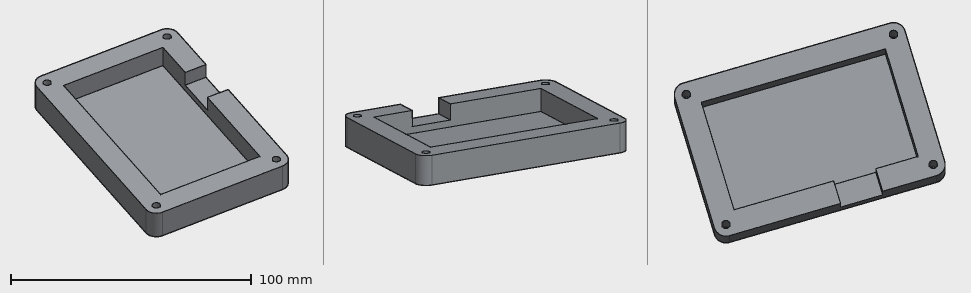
import cadquery as cq

length = 99.73
width = 67.71
height = 13.0
corner_radius = 5.0

wall = 10.0
floor_thickness = 3.0
pocket_length = length - 2 * wall
pocket_width = width - 2 * wall

screw_hole_diameter = 3.4
screw_spacing_x = length - 2 * corner_radius
screw_spacing_y = width - 2 * corner_radius

notch_width = 18.2
notch_depth = 7.0
notch_center_x = -12.4


def make_block():
    block = cq.Workplane("XY").box(length, width, height, centered=(True, True, False))
    return block.edges("|Z").fillet(corner_radius)


def cut_pocket(body):
    pocket = (
        cq.Workplane("XY")
        .workplane(offset=floor_thickness)
        .rect(pocket_length, pocket_width)
        .extrude(height - floor_thickness)
    )
    return body.cut(pocket)


def cut_screw_holes(body):
    holes = (
        cq.Workplane("XY")
        .rect(screw_spacing_x, screw_spacing_y, forConstruction=True)
        .vertices()
        .circle(screw_hole_diameter / 2)
        .extrude(height)
    )
    return body.cut(holes)


def cut_notch(body):
    notch = (
        cq.Workplane("XY")
        .workplane(offset=height - notch_depth)
        .center(notch_center_x, (width - wall) / 2)
        .rect(notch_width, wall)
        .extrude(notch_depth)
    )
    return body.cut(notch)


result = cut_notch(cut_screw_holes(cut_pocket(make_block())))